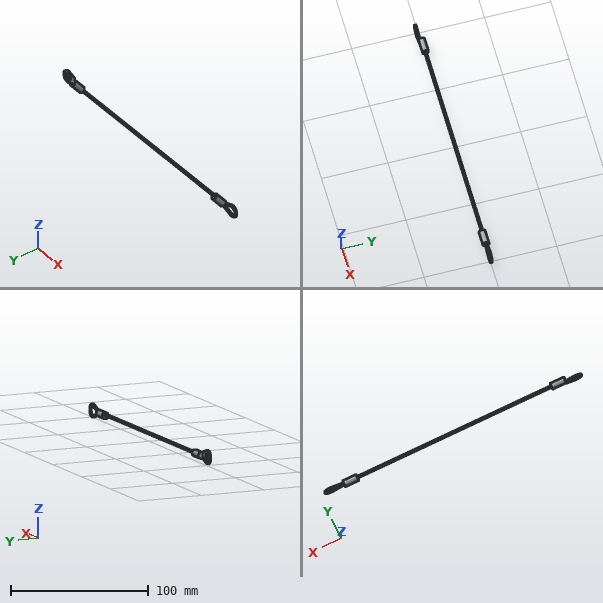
import cadquery as cq
import math

cable_diameter = 1.6
cable_radius = cable_diameter / 2

eye_outer_radius = 5.0
eye_hole_diameter = 5.4
neck_width = 5.3
plate_thickness = 1.0
barrel_diameter = 5.0
barrel_start_x = 7.5
barrel_length = 11.0
barrel_corner_radius = 1.2
plate_front_y = -2.15

sleeve_diameter = 5.0
sleeve_length = 10.8
sleeve_z = -cable_radius

overall_length = 206.58
loop_length = 15.7
loop_outer_radius = 5.1
loop_radius = loop_outer_radius - cable_radius

loop_end_x = overall_length - eye_outer_radius
loop_center_x = loop_end_x - loop_outer_radius
sleeve_end_x = loop_end_x - loop_length
sleeve_start_x = sleeve_end_x - sleeve_length


def x_cylinder(start_x, length, diameter, z=0):
    """Solid cylinder running along X at y = 0."""
    return cq.Workplane("YZ", origin=(start_x, 0, z)).circle(diameter / 2).extrude(length)


def make_barrel():
    """Round barrel flattened along its front, with the flat rounded into the round."""
    barrel_radius = barrel_diameter / 2
    center_distance = barrel_radius - barrel_corner_radius
    corner_y = plate_front_y + barrel_corner_radius
    flat_half = math.sqrt(center_distance**2 - corner_y**2)
    tangent_scale = barrel_radius / center_distance
    tangent_y = corner_y * tangent_scale
    tangent_z = flat_half * tangent_scale
    mid_angle = math.atan2(flat_half, -corner_y) / 2
    mid_y = corner_y - barrel_corner_radius * math.cos(mid_angle)
    mid_z = flat_half + barrel_corner_radius * math.sin(mid_angle)
    return (
        cq.Workplane("YZ", origin=(barrel_start_x, 0, 0))
        .moveTo(plate_front_y, -flat_half)
        .lineTo(plate_front_y, flat_half)
        .threePointArc((mid_y, mid_z), (tangent_y, tangent_z))
        .threePointArc((barrel_radius, 0), (tangent_y, -tangent_z))
        .threePointArc((mid_y, -mid_z), (plate_front_y, -flat_half))
        .close()
        .extrude(barrel_length)
    )


def make_terminal():
    """Flat eye that tapers into a round crimp barrel."""
    neck_half = neck_width / 2
    distance = math.hypot(barrel_start_x, neck_half)
    tangent_angle = math.atan2(neck_half, barrel_start_x) + math.acos(eye_outer_radius / distance)
    tangent_x = eye_outer_radius * math.cos(tangent_angle)
    tangent_z = eye_outer_radius * math.sin(tangent_angle)
    plate = (
        cq.Workplane("XZ", origin=(0, plate_front_y, 0))
        .moveTo(barrel_start_x, neck_half)
        .lineTo(tangent_x, tangent_z)
        .threePointArc((-eye_outer_radius, 0), (tangent_x, -tangent_z))
        .lineTo(barrel_start_x, -neck_half)
        .close()
        .extrude(-plate_thickness)
    )
    hole = (
        cq.Workplane("XZ", origin=(0, plate_front_y, 0))
        .circle(eye_hole_diameter / 2)
        .extrude(-plate_thickness)
    )
    return plate.union(make_barrel()).cut(hole)


def make_loop():
    """Teardrop of cable: two strands leaving the sleeve, tangent to a round end."""
    reach = loop_center_x - sleeve_end_x
    distance = math.hypot(reach, cable_radius)
    strand_angle = math.asin(loop_radius / distance) - math.asin(cable_radius / distance)
    tangent_x = loop_center_x - loop_radius * math.sin(strand_angle)
    tangent_rise = loop_radius * math.cos(strand_angle)
    path = (
        cq.Workplane("XZ")
        .moveTo(sleeve_end_x, sleeve_z + cable_radius)
        .lineTo(tangent_x, sleeve_z + tangent_rise)
        .threePointArc(
            (loop_center_x + loop_radius, sleeve_z),
            (tangent_x, sleeve_z - tangent_rise),
        )
        .lineTo(sleeve_end_x, sleeve_z - cable_radius)
    )
    strand_direction = (math.cos(strand_angle), 0, math.sin(strand_angle))
    profile = cq.Plane(
        origin=(sleeve_end_x, 0, sleeve_z + cable_radius),
        xDir=(0, 1, 0),
        normal=strand_direction,
    )
    return cq.Workplane(profile).circle(cable_radius).sweep(path)


cable = x_cylinder(barrel_start_x, sleeve_end_x - barrel_start_x, cable_diameter)
sleeve = x_cylinder(sleeve_start_x, sleeve_length, sleeve_diameter, sleeve_z)

result = make_terminal().union(cable).union(sleeve).union(make_loop())